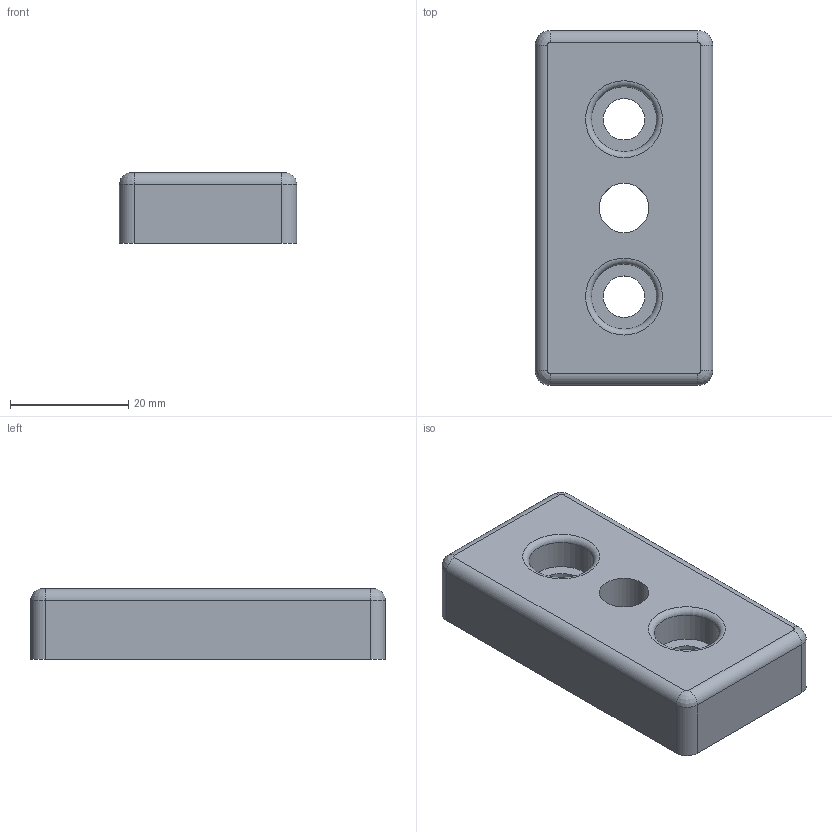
import cadquery as cq

width = 30.0
length = 60.0
height = 12.0
corner_radius = 2.5
top_edge_radius = 2.0

screw_hole_offset = 15.0
centre_hole_diameter = 8.38
screw_hole_diameter = 7.0
counterbore_diameter = 11.0
counterbore_depth = 6.0
counterbore_lip_radius = 1.0


def make_block():
    """Rectangular block with rounded vertical corners and a rounded top rim."""
    block = cq.Workplane("XY").box(width, length, height, centered=(True, True, False))
    block = block.edges("|Z").fillet(corner_radius)
    return block.faces(">Z").edges().fillet(top_edge_radius)


def cut_centre_hole(body):
    """Plain through hole in the middle of the block."""
    return body.faces(">Z").workplane(origin=(0, 0, height)).hole(centre_hole_diameter)


def cut_screw_hole(body, y):
    """Counterbored through hole whose mouth is rounded over."""
    body = (
        body.faces(">Z")
        .workplane(origin=(0, y, height))
        .cboreHole(screw_hole_diameter, counterbore_diameter, counterbore_depth)
    )
    lip_point = (0, y + counterbore_diameter / 2, height)
    return body.edges(cq.selectors.NearestToPointSelector(lip_point)).fillet(counterbore_lip_radius)


result = make_block()
result = cut_centre_hole(result)
for screw_y in (-screw_hole_offset, screw_hole_offset):
    result = cut_screw_hole(result, screw_y)